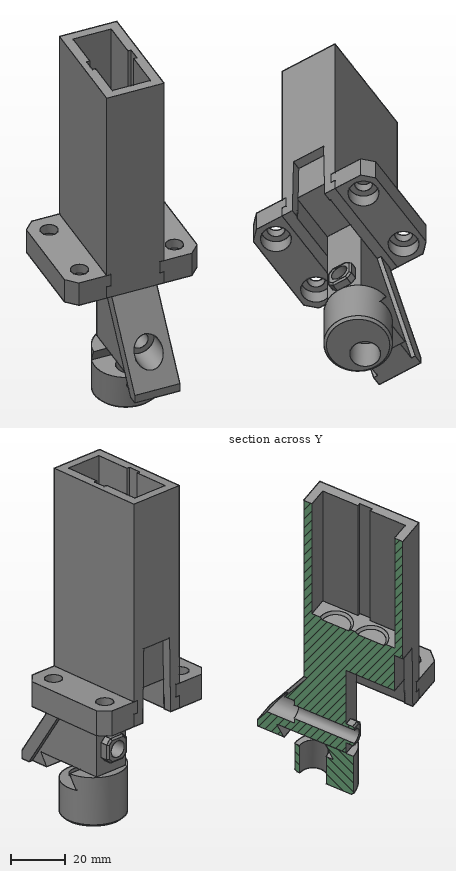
import cadquery as cq


TUBE_LENGTH = 42.1
TUBE_WIDTH = 23.0
TUBE_TOP = 140.0
TUBE_BOTTOM = 50.0
TUBE_CENTER_X = TUBE_LENGTH / 2

CAVITY_LENGTH = 35.0
CAVITY_WIDTH = 15.3
CAVITY_FLOOR = 84.0
GROOVE_LENGTH = 5.2
GROOVE_SPAN = 17.8
WALL_X = (TUBE_LENGTH - CAVITY_LENGTH) / 2

SEAT_TOP_DIAMETER = 13.0
SEAT_BOTTOM_DIAMETER = 11.0
SEAT_DEPTH = 1.0
SEAT_PITCH = 15.0

RECESS_TOP_WIDTH = 13.0
RECESS_BOTTOM_WIDTH = 14.0
RECESS_TOP = 80.0
CHANNEL_TOP = 62.0

SCREW_DIAMETER = 6.6
SCREW_HEAD_DIAMETER = 11.2

FLANGE_SPAN = 53.0
FLANGE_TOP = 60.0
FLANGE_CHAMFER_X = 4.0
FLANGE_CHAMFER_Y = 3.9
TONGUE_DEPTH = 1.7
TONGUE_BOTTOM = (FLANGE_TOP + TUBE_BOTTOM) / 2
FLANGE_HOLE_PITCH_X = 27.0
FLANGE_HOLE_PITCH_Y = 38.0
FLANGE_COUNTERBORE_TOP = 56.1

BRACKET_WIDTH = 14.7
BRACKET_X = 24.1
BRACKET_BOTTOM = 20.0
HOOK_BOTTOM = 15.0
HOOK_TIP_X = 50.4
HOOK_ROOT_X = 53.5
PLATE_WIDTH = 18.0
PLATE_TOP_INNER_X = 34.9
PLATE_TOP_OUTER_X = 40.7
PLATE_BOTTOM_INNER_X = 58.0
PLATE_END_X = 61.7
PLATE_END_TOP = 18.3

CROSS_HOLE_Z = 30.1
CROSS_COUNTERBORE_X = 46.2
BOSS_SIZE = 10.0
BOSS_HEIGHT = 3.5
BOSS_CORNER_CHAMFER = 2.0
BOSS_EDGE_CHAMFER = 0.7

KNOB_DIAMETER = 25.0
KNOB_CENTER_X = 33.5
KNOB_CHAMFER = 1.0
BORE_DIAMETER = 11.2
BORE_CENTER_X = 38.2
NOTCH_FLOOR = 14.1
NOTCH_TOP_X = 32.9
NOTCH_ROOT_X = 29.8


def block(x_min, x_max, y_min, y_max, z_min, z_max):
    """Box between the given limits."""
    box = cq.Workplane().box(x_max - x_min, y_max - y_min, z_max - z_min, centered=False)
    return box.translate((x_min, y_min, z_min))


def centered_block(x_min, x_max, width, z_min, z_max):
    """Box that is symmetrical about the y = 0 plane."""
    return block(x_min, x_max, -width / 2, width / 2, z_min, z_max)


def side_profile(points, width):
    """Outline of (x, z) points, extruded symmetrically about the y = 0 plane."""
    return cq.Workplane("XZ").polyline(points).close().extrude(width / 2, both=True)


def cylinder_along_x(diameter, x_min, x_max, z):
    return cq.Workplane("YZ", origin=(x_min, 0, z)).circle(diameter / 2).extrude(x_max - x_min)


def make_cavity():
    pocket = centered_block(WALL_X, TUBE_LENGTH - WALL_X, CAVITY_WIDTH, CAVITY_FLOOR, TUBE_TOP)
    grooves = centered_block(
        TUBE_CENTER_X - GROOVE_LENGTH / 2,
        TUBE_CENTER_X + GROOVE_LENGTH / 2,
        GROOVE_SPAN,
        CAVITY_FLOOR,
        TUBE_TOP,
    )
    cavity = pocket.union(grooves)
    for side in (-1, 1):
        seat_x = TUBE_CENTER_X + side * SEAT_PITCH / 2
        seat = (
            cq.Workplane(origin=(seat_x, 0, CAVITY_FLOOR - SEAT_DEPTH))
            .circle(SEAT_BOTTOM_DIAMETER / 2)
            .workplane(offset=SEAT_DEPTH)
            .circle(SEAT_TOP_DIAMETER / 2)
            .loft()
        )
        cavity = cavity.union(seat)
    return cavity


def make_lower_opening():
    """Tapered recess through the -X wall, and the channel behind it."""
    recess = (
        cq.Workplane("YZ")
        .polyline(
            [
                (-RECESS_BOTTOM_WIDTH / 2, TUBE_BOTTOM),
                (RECESS_BOTTOM_WIDTH / 2, TUBE_BOTTOM),
                (RECESS_TOP_WIDTH / 2, RECESS_TOP),
                (-RECESS_TOP_WIDTH / 2, RECESS_TOP),
            ]
        )
        .close()
        .extrude(WALL_X)
    )
    channel = centered_block(WALL_X, BRACKET_X, BRACKET_WIDTH, TUBE_BOTTOM, CHANNEL_TOP)
    return recess.union(channel)


def make_tongue(side):
    """Tongue of one flange, on the +Y side for side = 1 and on the -Y side for side = -1."""
    outer_y = side * TUBE_WIDTH / 2
    inner_y = outer_y - side * TONGUE_DEPTH
    y_min, y_max = sorted((inner_y, outer_y))
    return block(0, TUBE_LENGTH, y_min, y_max, TONGUE_BOTTOM, FLANGE_TOP)


def make_tube():
    tube = centered_block(0, TUBE_LENGTH, TUBE_WIDTH, TUBE_BOTTOM, TUBE_TOP)
    tube = tube.cut(make_cavity()).cut(make_lower_opening())
    for side in (-1, 1):
        tube = tube.cut(make_tongue(side))
    return tube


def make_boss():
    boss = (
        cq.Workplane("YZ", origin=(BRACKET_X, 0, CROSS_HOLE_Z))
        .rect(BOSS_SIZE, BOSS_SIZE)
        .extrude(-BOSS_HEIGHT)
    )
    return boss.edges("|X").chamfer(BOSS_CORNER_CHAMFER).faces("<X").edges().chamfer(BOSS_EDGE_CHAMFER)


def make_bracket():
    web = side_profile(
        [
            (BRACKET_X, TUBE_BOTTOM),
            (BRACKET_X, BRACKET_BOTTOM),
            (HOOK_ROOT_X, BRACKET_BOTTOM),
            (HOOK_TIP_X, HOOK_BOTTOM),
            (PLATE_BOTTOM_INNER_X, HOOK_BOTTOM),
            (PLATE_TOP_INNER_X, TUBE_BOTTOM),
        ],
        BRACKET_WIDTH,
    )
    back_plate = side_profile(
        [
            (PLATE_TOP_INNER_X, TUBE_BOTTOM),
            (PLATE_BOTTOM_INNER_X, HOOK_BOTTOM),
            (PLATE_END_X, HOOK_BOTTOM),
            (PLATE_END_X, PLATE_END_TOP),
            (PLATE_TOP_OUTER_X, TUBE_BOTTOM),
        ],
        PLATE_WIDTH,
    )
    cross_hole = cylinder_along_x(SCREW_DIAMETER, 0, PLATE_END_X, CROSS_HOLE_Z)
    counterbore = cylinder_along_x(SCREW_HEAD_DIAMETER, CROSS_COUNTERBORE_X, PLATE_END_X, CROSS_HOLE_Z)
    return web.union(back_plate).union(make_boss()).cut(cross_hole).cut(counterbore)


def make_housing():
    """Tube and bracket in one piece."""
    return make_tube().union(make_bracket())


def make_flange(side):
    """Flange on the +Y side for side = 1 and on the -Y side for side = -1."""
    inner_y = side * TUBE_WIDTH / 2
    outer_y = side * FLANGE_SPAN / 2
    shoulder_y = outer_y - side * FLANGE_CHAMFER_Y
    plate = (
        cq.Workplane(origin=(0, 0, TUBE_BOTTOM))
        .polyline(
            [
                (0, inner_y),
                (0, shoulder_y),
                (FLANGE_CHAMFER_X, outer_y),
                (TUBE_LENGTH - FLANGE_CHAMFER_X, outer_y),
                (TUBE_LENGTH, shoulder_y),
                (TUBE_LENGTH, inner_y),
            ]
        )
        .close()
        .extrude(FLANGE_TOP - TUBE_BOTTOM)
    )
    flange = plate.union(make_tongue(side))
    for hole_side in (-1, 1):
        hole_x = TUBE_CENTER_X + hole_side * FLANGE_HOLE_PITCH_X / 2
        bottom = cq.Workplane(origin=(hole_x, side * FLANGE_HOLE_PITCH_Y / 2, TUBE_BOTTOM))
        hole = bottom.circle(SCREW_DIAMETER / 2).extrude(FLANGE_TOP - TUBE_BOTTOM)
        counterbore = bottom.circle(SCREW_HEAD_DIAMETER / 2).extrude(FLANGE_COUNTERBORE_TOP - TUBE_BOTTOM)
        flange = flange.cut(hole).cut(counterbore)
    return flange


def make_knob():
    """Cylinder with an eccentric bore and an undercut notch across its +X half."""
    radius = KNOB_DIAMETER / 2
    half_section = [
        (0, 0),
        (radius - KNOB_CHAMFER, 0),
        (radius, KNOB_CHAMFER),
        (radius, BRACKET_BOTTOM),
        (0, BRACKET_BOTTOM),
    ]
    knob = cq.Workplane("XZ").polyline(half_section).close().revolve(360, (0, 0), (0, 1))
    knob = knob.translate((KNOB_CENTER_X, 0, 0))
    bore = cq.Workplane(origin=(BORE_CENTER_X, 0, 0)).circle(BORE_DIAMETER / 2).extrude(BRACKET_BOTTOM)
    knob_end_x = KNOB_CENTER_X + radius
    notch = side_profile(
        [
            (NOTCH_TOP_X, BRACKET_BOTTOM),
            (NOTCH_ROOT_X, NOTCH_FLOOR),
            (knob_end_x, NOTCH_FLOOR),
            (knob_end_x, BRACKET_BOTTOM),
        ],
        KNOB_DIAMETER,
    )
    return knob.cut(bore).cut(notch)


housing = make_housing()
flanges = [make_flange(side) for side in (-1, 1)]
knob = make_knob()

result = cq.Compound.makeCompound([housing.val(), *[flange.val() for flange in flanges], knob.val()])